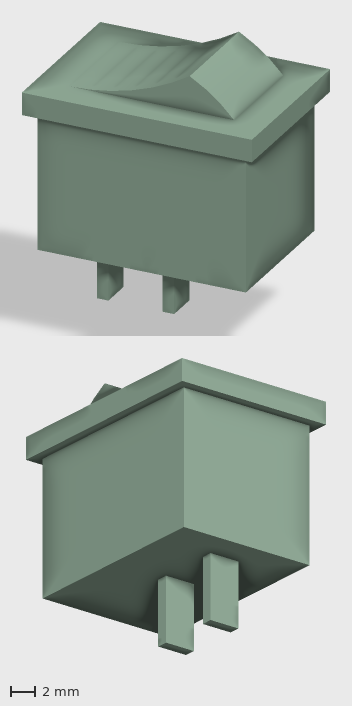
import cadquery as cq

flange_length = 21.0
flange_width = 15.0
flange_thickness = 2.05

body_length = 19.0
body_width = 13.1
body_height = 12.5

terminal_thickness = 1.05
terminal_width = 2.9
terminal_length = 6.0
terminal_pitch = 6.0
terminal_positions = (-terminal_pitch, 0.0)

rocker_length = 15.1
rocker_width = 9.45
crest_x = 3.5
crest_height = 3.18
press_face_mid_x = -1.8
press_face_mid_height = 0.8
back_face_mid_x = 5.0
back_face_mid_height = 2.27


def make_flange():
    return cq.Workplane("XY").box(
        flange_length, flange_width, flange_thickness, centered=(True, True, False)
    )


def make_body():
    return (
        cq.Workplane("XY")
        .rect(body_length, body_width)
        .extrude(-body_height)
    )


def make_terminal(x):
    return (
        cq.Workplane("XY", origin=(x, 0, -body_height))
        .rect(terminal_thickness, terminal_width)
        .extrude(-terminal_length)
    )


def make_rocker():
    """Concave press face rising to a crest, then a convex back face."""
    half_length = rocker_length / 2
    return (
        cq.Workplane("XZ", origin=(0, 0, flange_thickness))
        .moveTo(-half_length, 0)
        .threePointArc((press_face_mid_x, press_face_mid_height), (crest_x, crest_height))
        .threePointArc((back_face_mid_x, back_face_mid_height), (half_length, 0))
        .close()
        .extrude(rocker_width / 2, both=True)
    )


result = make_flange().union(make_body()).union(make_rocker())
for terminal_x in terminal_positions:
    result = result.union(make_terminal(terminal_x))